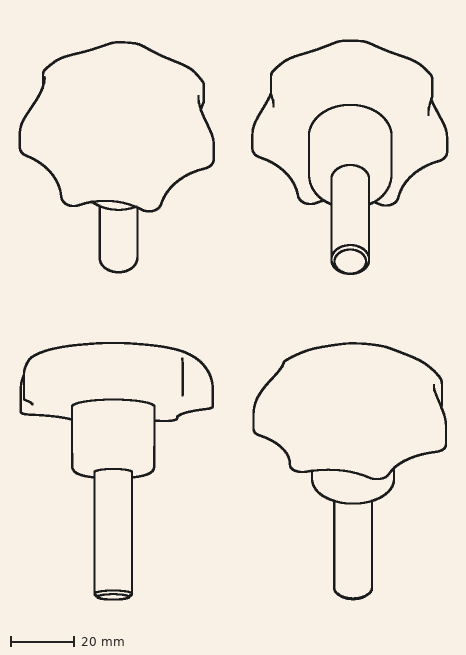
import cadquery as cq
import math

stud_length = 40.0
boss_height = 21.0
total_height = 80.0
head_bottom = stud_length + boss_height

lobe_count = 7
lobe_radius = 4.0
lobe_circle_radius = 27.5
scallop_radius = 20.0
head_radius = lobe_circle_radius + lobe_radius
dome_radius = 100.0
shoulder_radius = 11.0
blank_margin = 0.03
blank_radius = head_radius + blank_margin
scallop_rim_fillet = 1.5
bottom_rim_fillet = 0.5

boss_radius = 13.0
boss_draft = 0.25
boss_fillet = 2.0

stud_radius = 6.0
stud_chamfer = 1.0

lobe_step = 2 * math.pi / lobe_count
first_lobe_angle = math.pi


def polar(radius, angle):
    return (radius * math.cos(angle), radius * math.sin(angle))


def star_outline():
    """Convex lobe arcs joined tangentially by concave scallop arcs."""
    half_step = lobe_step / 2
    lobe_offset = lobe_circle_radius * math.sin(half_step)
    centre_distance = scallop_radius + lobe_radius
    scallop_reach = math.sqrt(centre_distance**2 - lobe_offset**2)
    scallop_circle_radius = lobe_circle_radius * math.cos(half_step) + scallop_reach
    valley_radius = scallop_circle_radius - scallop_radius

    contact_direction = half_step + math.asin(lobe_offset / centre_distance)
    contact_along = lobe_circle_radius + lobe_radius * math.cos(contact_direction)
    contact_across = lobe_radius * math.sin(contact_direction)
    contact_radius = math.hypot(contact_along, contact_across)
    contact_angle = math.atan2(contact_across, contact_along)

    outline = cq.Workplane("XY", origin=(0, 0, head_bottom))
    outline = outline.moveTo(*polar(contact_radius, first_lobe_angle - contact_angle))
    for i in range(lobe_count):
        lobe_angle = first_lobe_angle + i * lobe_step
        next_lobe_angle = lobe_angle + lobe_step
        outline = outline.threePointArc(
            polar(head_radius, lobe_angle),
            polar(contact_radius, lobe_angle + contact_angle),
        )
        outline = outline.threePointArc(
            polar(valley_radius, lobe_angle + half_step),
            polar(contact_radius, next_lobe_angle - contact_angle),
        )
    return outline.close()


def domed_blank():
    """Round blank: straight wall, rounded shoulder and a spherical top tangent to it."""
    dome_centre_z = total_height - dome_radius
    shoulder_centre_x = blank_radius - shoulder_radius
    centre_gap = dome_radius - shoulder_radius
    centre_rise = math.sqrt(centre_gap**2 - shoulder_centre_x**2)
    shoulder_centre_z = dome_centre_z + centre_rise
    dome_edge_tilt = math.atan2(shoulder_centre_x, centre_rise)

    def on_dome(tilt):
        return (dome_radius * math.sin(tilt), dome_centre_z + dome_radius * math.cos(tilt))

    shoulder_mid_tilt = (dome_edge_tilt + math.pi / 2) / 2
    shoulder_mid = (
        shoulder_centre_x + shoulder_radius * math.sin(shoulder_mid_tilt),
        shoulder_centre_z + shoulder_radius * math.cos(shoulder_mid_tilt),
    )
    return (
        cq.Workplane("XZ")
        .moveTo(0, head_bottom)
        .lineTo(blank_radius, head_bottom)
        .lineTo(blank_radius, shoulder_centre_z)
        .threePointArc(shoulder_mid, on_dome(dome_edge_tilt))
        .threePointArc(on_dome(dome_edge_tilt / 2), (0, total_height))
        .close()
        .revolve(360, (0, 0), (0, 1))
    )


def make_head():
    """Star prism topped by the domed blank, with both rims rounded."""
    star = star_outline().extrude(total_height - head_bottom)
    head = domed_blank().intersect(star)
    top_rim = head.edges("%BSPLINE")
    head = top_rim.fillet(scallop_rim_fillet)
    return head.faces("<Z").edges().fillet(bottom_rim_fillet)


def make_boss():
    boss = cq.Workplane("XY", origin=(0, 0, stud_length)).circle(boss_radius)
    boss = boss.extrude(boss_height, taper=-boss_draft)
    return boss.faces("<Z").edges().fillet(boss_fillet)


def make_knob():
    """Head and boss moulded as one piece."""
    knob = make_head().union(make_boss())
    return knob.solids()


def make_stud():
    """Plain stud standing on the underside of the boss, chamfered at its free end."""
    stud = cq.Workplane("XY").circle(stud_radius).extrude(stud_length)
    return stud.faces("<Z").edges().chamfer(stud_chamfer)


knob = make_knob()
stud = make_stud()

result = cq.Compound.makeCompound([knob.val(), stud.val()])